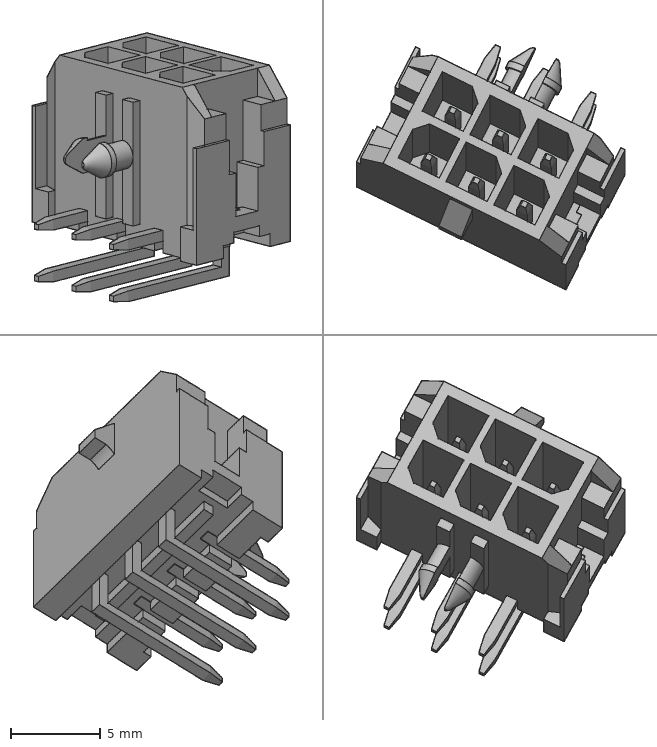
import cadquery as cq


overall_x = 13.15
overall_y = 11.95
overall_z = 12.24

pitch = 3.0
columns = (-pitch, 0.0, pitch)
front_row = -pitch / 2
rear_row = pitch / 2

core_half_x = 4.9
hull_half_x = 6.31
half_depth = 3.43
height = 9.92
shoulder_z = 8.28
gusset_inner_y = 2.49
front_corner_x = 5.28
front_corner_depth = 0.37

skirt_half_x = overall_x / 2
skirt_top = 6.77
skirt_front_y = -3.96
foot_top = 1.99

wide_half_y = 1.365
wide_floor = 4.78
narrow_half_y = 0.865
narrow_floor = 2.25

clip_outer_x = 5.31
clip_tab_x = 5.635
clip_tab_half_y = 0.39
clip_seat_depth = 0.1
window_half_y = 1.01
window_top = 1.365

tunnel_half_y = 1.84
tunnel_top = 0.74
bar_half_y = 0.33

cavity_x = 2.58
cavity_y = 2.52
cavity_floor = narrow_floor
key = 0.7

pin_width = 0.68
pin_thick = 0.63
pin_tip = 0.32
taper = 1.01
contact_top = 7.5
front_end_y = -7.14
front_tail_z = 1.0
rear_tail_z = height - overall_z + pin_thick / 2

rib_inner_x = 0.66
rib_outer_x = 1.5
rib_bottom = 1.31
rib_top = 8.5
peg_z = 5.31
peg_radius = 0.83
head_radius = 1.0
head_start_y = -5.41
cone_start_y = -5.79
tip_edge_y = -7.0
tip_edge_radius = 0.3
tip_radius = 0.15

latch_half_x = 0.71
latch_y = front_end_y + overall_y
latch_top = 9.32
latch_nose_top = 7.71
latch_nose_bottom = 6.99
latch_root = 6.57
latch_arc_y = 4.02
latch_arc_mid = (3.77, 6.87)


def block(x, y, z):
    """Box given as (low, high) spans along each axis."""
    return (
        cq.Workplane("XY")
        .box(x[1] - x[0], y[1] - y[0], z[1] - z[0], centered=False)
        .translate((x[0], y[0], z[0]))
    )


def mirror_x(shape):
    return shape.union(shape.mirror("YZ"))


def make_core():
    """Central block that holds the contact cavities."""
    return block((-core_half_x, core_half_x), (-half_depth, half_depth), (0, height))


def make_side():
    """Hull side, gussets, skirt and foot at +X."""
    side = block((core_half_x, hull_half_x), (-half_depth, half_depth), (0, shoulder_z))
    gusset = (
        cq.Workplane("XZ", origin=(0, half_depth, 0))
        .polyline([(core_half_x, shoulder_z), (hull_half_x, shoulder_z), (core_half_x, height)])
        .close()
        .extrude(half_depth - gusset_inner_y)
    )
    side = side.union(gusset).union(gusset.mirror("XZ"))
    bevel = (
        cq.Workplane("XY", origin=(0, 0, foot_top))
        .polyline([
            (front_corner_x, -half_depth),
            (hull_half_x, -half_depth),
            (hull_half_x, -half_depth + front_corner_depth),
        ])
        .close()
        .extrude(height - foot_top)
    )
    side = side.cut(bevel)
    side = side.union(block((hull_half_x, skirt_half_x), (skirt_front_y, half_depth), (0, skirt_top)))
    foot_back_y = -half_depth + front_corner_depth
    return side.union(block((front_corner_x, skirt_half_x), (skirt_front_y, foot_back_y), (0, foot_top)))


def make_side_cuts():
    """Stepped pocket, clip seat and lower window at +X."""
    side_x = (core_half_x, skirt_half_x)
    cuts = block(side_x, (-wide_half_y, wide_half_y), (wide_floor, height))
    cuts = cuts.union(block(side_x, (-narrow_half_y, narrow_half_y), (narrow_floor, height)))
    seat_z = (narrow_floor - clip_seat_depth, narrow_floor)
    seat = block((core_half_x, clip_outer_x), (-narrow_half_y, narrow_half_y), seat_z)
    tab = block((core_half_x, clip_tab_x), (-clip_tab_half_y, clip_tab_half_y), seat_z)
    window = block((clip_outer_x, skirt_half_x), (-window_half_y, window_half_y), (0, window_top))
    return cuts.union(seat).union(tab).union(window)


def make_tunnel():
    return block((-skirt_half_x, skirt_half_x), (-tunnel_half_y, tunnel_half_y), (0, tunnel_top))


def make_bar():
    """Crossbar between the two pin rows, inside the tunnel."""
    return block((-core_half_x, core_half_x), (-bar_half_y, bar_half_y), (0, tunnel_top))


def make_cavity(x, y):
    """Contact cavity with keyed front corners; only the rear right cavity is keyed at +X."""
    corner = "<X and <Y"
    if x > 0 and y > 0:
        corner = ">X and <Y"
    return (
        cq.Workplane("XY", origin=(x, y, cavity_floor))
        .rect(cavity_x, cavity_y)
        .extrude(height - cavity_floor)
        .edges("|Z")
        .edges(corner)
        .chamfer(key)
    )


def make_tail_slot(x):
    """Relief in the front wall under a front-row tail."""
    return block(
        (x - pin_width / 2, x + pin_width / 2),
        (-half_depth, -tunnel_half_y),
        (0, front_tail_z),
    )


def make_pin(x, row_y, tail_z):
    """L-shaped pin with tapered ends."""
    half_width = pin_width / 2
    half_thick = pin_thick / 2
    x_span = (x - half_width, x + half_width)
    leg = block(
        x_span,
        (row_y - half_thick, row_y + half_thick),
        (tail_z - half_thick, contact_top - taper),
    )
    tail = block(
        x_span,
        (front_end_y + taper, row_y),
        (tail_z - half_thick, tail_z + half_thick),
    )
    contact_tip = (
        cq.Workplane("XY", origin=(x, row_y, contact_top - taper))
        .rect(pin_width, pin_thick)
        .workplane(offset=taper)
        .rect(pin_tip, pin_tip)
        .loft()
    )
    tail_tip = (
        cq.Workplane("XZ", origin=(x, front_end_y + taper, tail_z))
        .rect(pin_width, pin_thick)
        .workplane(offset=taper)
        .rect(pin_tip, pin_tip)
        .loft()
    )
    return leg.union(tail).union(contact_tip).union(tail_tip)


def make_rib_and_peg():
    """Front rib at +X and the half peg that stands on it."""
    rib = block((rib_inner_x, rib_outer_x), (skirt_front_y, -half_depth), (rib_bottom, rib_top))
    half_peg = (
        cq.Workplane("XY")
        .polyline([
            (0, -half_depth),
            (peg_radius, -half_depth),
            (peg_radius, head_start_y),
            (head_radius, head_start_y),
            (head_radius, cone_start_y),
            (tip_edge_radius, tip_edge_y),
            (tip_radius, front_end_y),
            (0, front_end_y),
        ])
        .close()
        .revolve(180, (0, 0, 0), (0, 1, 0))
        .rotate((0, 0, 0), (0, 1, 0), -90)
        .translate((rib_inner_x, 0, peg_z))
    )
    return rib.union(half_peg)


def make_latch():
    """Ramped latch nose on the rear wall."""
    return (
        cq.Workplane("YZ", origin=(-latch_half_x, 0, 0))
        .moveTo(half_depth, latch_top)
        .lineTo(latch_y, latch_nose_top)
        .lineTo(latch_y, latch_nose_bottom)
        .lineTo(latch_arc_y, latch_nose_bottom)
        .threePointArc(latch_arc_mid, (half_depth, latch_root))
        .close()
        .extrude(2 * latch_half_x)
    )


housing = make_core().union(mirror_x(make_side()))
housing = housing.cut(mirror_x(make_side_cuts())).cut(make_tunnel())
for column in columns:
    housing = housing.cut(make_tail_slot(column))
    for row in (front_row, rear_row):
        housing = housing.cut(make_cavity(column, row))

result = housing.union(make_bar()).union(mirror_x(make_rib_and_peg())).union(make_latch())
for column in columns:
    result = result.union(make_pin(column, front_row, front_tail_z))
    result = result.union(make_pin(column, rear_row, rear_tail_z))